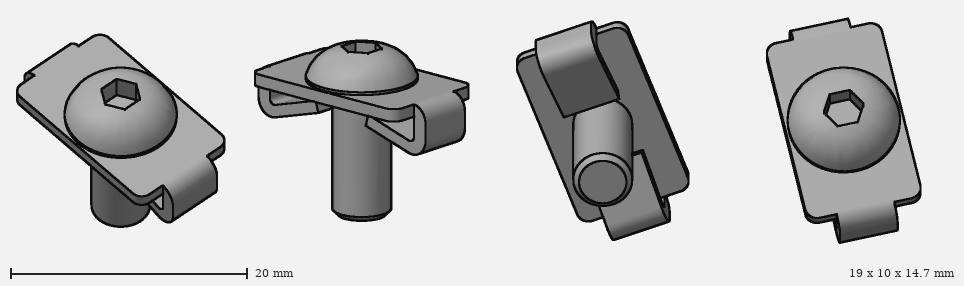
import cadquery as cq
import math

CLIP_LENGTH = 19.0
CLIP_DROP = 4.5
PLATE_LENGTH = 16.42
PLATE_WIDTH = 10.0
PLATE_THICKNESS = 1.1
PLATE_CORNER_RADIUS = 1.0
STRIP_WIDTH = PLATE_WIDTH / 2
BEND_OUTER_RADIUS = 1.5
BEND_INNER_RADIUS = 0.5
ARM_THICKNESS = 1.06
ARM_ANGLE = math.radians(16.0)
ARM_TIP_X = 2.7

SHANK_DIAMETER = 5.0
SHANK_LENGTH = 11.99
TIP_CHAMFER = 0.5
HEAD_DIAMETER = 9.5
HEAD_HEIGHT = 2.75
HEAD_RIM_HEIGHT = 0.25
DOME_RADIUS = 3.57
SOCKET_FLATS = 3.0
SOCKET_DEPTH = 2.07

SOCKET_CORNERS = SOCKET_FLATS / math.cos(math.radians(30))


def plate_band():
    """Flat plate whose end faces follow the start of the bends."""
    plate = (
        cq.Workplane("XY")
        .rect(PLATE_LENGTH, PLATE_WIDTH)
        .extrude(-PLATE_THICKNESS)
        .edges("|Z")
        .fillet(PLATE_CORNER_RADIUS)
    )
    bend_envelope = (
        cq.Workplane("XY")
        .box(CLIP_LENGTH, PLATE_WIDTH, CLIP_DROP, centered=(True, True, False))
        .translate((0, 0, -CLIP_DROP))
        .edges("|Y and >Z")
        .fillet(BEND_OUTER_RADIUS)
    )
    return plate.intersect(bend_envelope)


def spring_arm():
    """Hook on the +X end: down from the plate, then back up toward the screw."""
    outer_x = CLIP_LENGTH / 2
    inner_x = PLATE_LENGTH / 2
    center_x = outer_x - BEND_OUTER_RADIUS
    upper_center_z = -BEND_OUTER_RADIUS
    lower_center_z = BEND_OUTER_RADIUS - CLIP_DROP
    sine = math.sin(ARM_ANGLE)
    cosine = math.cos(ARM_ANGLE)
    slope = math.tan(ARM_ANGLE)

    half_turn = (math.pi / 2 + ARM_ANGLE) / 2
    bend_middle = (
        center_x + BEND_OUTER_RADIUS * math.cos(half_turn),
        lower_center_z - BEND_OUTER_RADIUS * math.sin(half_turn),
    )
    bend_end = (
        center_x - BEND_OUTER_RADIUS * sine,
        lower_center_z - BEND_OUTER_RADIUS * cosine,
    )
    tip_lower = (ARM_TIP_X, bend_end[1] + (bend_end[0] - ARM_TIP_X) * slope)
    tip_upper = (tip_lower[0] + ARM_THICKNESS * sine, tip_lower[1] + ARM_THICKNESS * cosine)
    inner_corner = (inner_x, tip_upper[1] - (inner_x - tip_upper[0]) * slope)

    diagonal = BEND_OUTER_RADIUS * math.sqrt(0.5)
    root_x = inner_x - PLATE_THICKNESS
    arm = (
        cq.Workplane("XZ")
        .moveTo(root_x, 0)
        .lineTo(center_x, 0)
        .threePointArc((center_x + diagonal, upper_center_z + diagonal), (outer_x, upper_center_z))
        .lineTo(outer_x, lower_center_z)
        .threePointArc(bend_middle, bend_end)
        .lineTo(*tip_lower)
        .lineTo(*tip_upper)
        .lineTo(*inner_corner)
        .lineTo(inner_x, -PLATE_THICKNESS)
        .lineTo(root_x, -PLATE_THICKNESS)
        .close()
        .extrude(STRIP_WIDTH / 2, both=True)
    )
    inner_edge = cq.selectors.NearestToPointSelector((inner_corner[0], 0, inner_corner[1]))
    return arm.edges("|Y").edges(inner_edge).fillet(BEND_INNER_RADIUS)


def make_clip():
    """Plate with a hook at each end and a hole that fits the screw shank."""
    arm = spring_arm()
    clip = plate_band().union(arm).union(arm.mirror("YZ"))
    hole = cq.Workplane("XY").circle(SHANK_DIAMETER / 2).extrude(-PLATE_THICKNESS)
    return clip.cut(hole)


def make_screw():
    """Domed head on a plain chamfered shank, with a hexagon socket."""
    head_radius = HEAD_DIAMETER / 2
    shank_radius = SHANK_DIAMETER / 2
    flat_radius = SOCKET_CORNERS / 2

    chord_x = head_radius - flat_radius
    chord_z = HEAD_HEIGHT - HEAD_RIM_HEIGHT
    chord = math.hypot(chord_x, chord_z)
    bulge = DOME_RADIUS - math.sqrt(DOME_RADIUS**2 - (chord / 2) ** 2)
    dome_middle = (
        (head_radius + flat_radius) / 2 + bulge * chord_z / chord,
        (HEAD_HEIGHT + HEAD_RIM_HEIGHT) / 2 + bulge * chord_x / chord,
    )

    screw = (
        cq.Workplane("XZ")
        .moveTo(0, -SHANK_LENGTH)
        .lineTo(shank_radius - TIP_CHAMFER, -SHANK_LENGTH)
        .lineTo(shank_radius, -SHANK_LENGTH + TIP_CHAMFER)
        .lineTo(shank_radius, 0)
        .lineTo(head_radius, 0)
        .lineTo(head_radius, HEAD_RIM_HEIGHT)
        .threePointArc(dome_middle, (flat_radius, HEAD_HEIGHT))
        .lineTo(0, HEAD_HEIGHT)
        .close()
        .revolve(360, (0, 0, 0), (0, 1, 0))
    )
    socket = (
        cq.Workplane("XY", origin=(0, 0, HEAD_HEIGHT))
        .polygon(6, SOCKET_CORNERS)
        .extrude(-SOCKET_DEPTH)
        .rotate((0, 0, 0), (0, 0, 1), 90)
    )
    return screw.cut(socket)


clip = make_clip()
screw = make_screw()
result = cq.Compound.makeCompound([clip.val(), screw.val()])